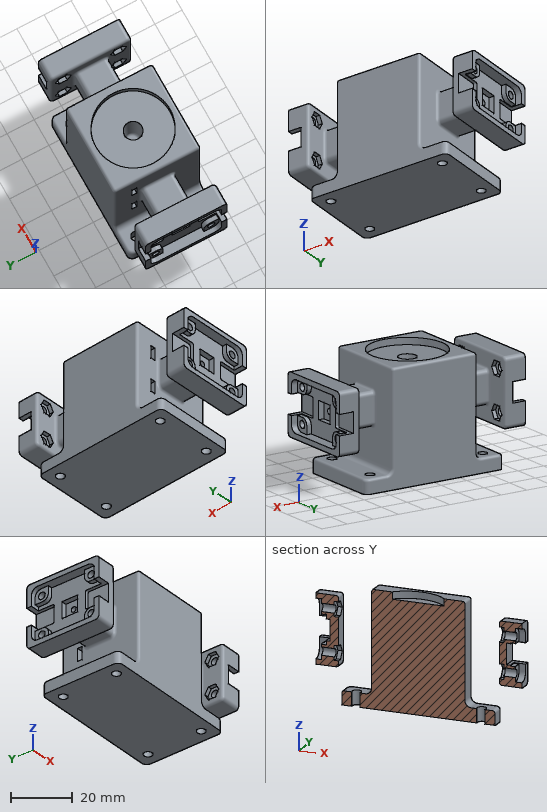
import cadquery as cq
import math


overall_length = 72.5
body_length = 33.0
body_width = 32.0
total_height = 41.0
base_length = 54.0
base_thickness = 5.1
outer_round = 1.0
base_corner_radius = 2.0
base_blend_radius = 2.0

seat_diameter = 27.25
seat_depth = 2.5
socket_top_diameter = 6.4
socket_bottom_diameter = 4.65
socket_depth = 10.0
socket_bottom_round = 0.95

mount_hole_diameter = 3.2
mount_hole_spacing_x = 43.9
mount_hole_spacing_y = 22.05

axis_height = 25.0
arm_size = 11.95
arm_edge_radius = 1.5
arm_blend_radius = 1.0
left_arm_length = 11.45
plate_thickness = 8.05
plate_width = 30.0
left_plate_height = 24.5
right_plate_height = 22.1
plate_corner_radius = 1.5
wire_hole_diameter = 2.0

left_pocket_depth = 3.6
right_pocket_depth = 4.05
pocket_width = 26.0
pocket_rim = 1.95
pocket_corner_radius = 2.6
square_size = 6.5
square_depth = 2.0
notch_height = 7.25
notch_inner_offset = 6.5
notch_extra_depth = 1.3
notch_corner_radius = 0.6

boss_width = 5.5
boss_height = 5.2
boss_rise = 1.75
boss_round = 2.5
screw_hole_diameter = 2.7
screw_offset_y = 10.2
screw_edge_distance = 4.8
nut_width = 5.0
nut_sides = 6
nut_recess_depth = 1.5

slot_width = 1.8
slot_height = 5.0
slot_depth = 3.0
slot_offset_y = 8.55
slot_offset_z = 6.75

selection_margin = 0.1

right_arm_length = overall_length - body_length - left_arm_length - 2 * plate_thickness


def box_between(x_range, y_range, z_range):
    """Axis-aligned box given by its limits along X, Y and Z."""
    size = [b - a for a, b in (x_range, y_range, z_range)]
    corner = (x_range[0], y_range[0], z_range[0])
    return cq.Workplane("XY").box(*size, centered=False).translate(corner)


def make_body():
    """Base and block in one profile, with rounded outer edges."""
    half_base = base_length / 2
    half_body = body_length / 2
    body = (
        cq.Workplane("XZ", origin=(0, body_width / 2, 0))
        .moveTo(-half_base, 0)
        .lineTo(half_base, 0)
        .lineTo(half_base, base_thickness)
        .lineTo(half_body + base_blend_radius, base_thickness)
        .radiusArc((half_body, base_thickness + base_blend_radius), base_blend_radius)
        .lineTo(half_body, total_height)
        .lineTo(-half_body, total_height)
        .lineTo(-half_body, base_thickness + base_blend_radius)
        .radiusArc((-half_body - base_blend_radius, base_thickness), base_blend_radius)
        .lineTo(-half_base, base_thickness)
        .close()
        .extrude(body_width)
    )
    body = body.edges("|Z and (<X or >X)").fillet(base_corner_radius)
    top_edges = body.faces(">Z").edges()
    side_edges = body.faces("<Y or >Y").edges("not <Z")
    base_end_edges = body.faces("<X or >X").edges(">Z")
    curved_corner_edges = body.edges("%CIRCLE").edges(cq.selectors.BoxSelector(
        (-base_length, -body_width, base_thickness - selection_margin),
        (base_length, body_width, base_thickness + selection_margin),
    ))
    outer_edges = top_edges.vals() + side_edges.vals() + base_end_edges.vals() + curved_corner_edges.vals()
    return body.newObject(outer_edges).fillet(outer_round)


def cut_top_socket(body):
    seat_floor = total_height - seat_depth
    taper = math.degrees(math.atan((socket_top_diameter - socket_bottom_diameter) / 2 / socket_depth))
    seat = cq.Workplane("XY", origin=(0, 0, seat_floor)).circle(seat_diameter / 2).extrude(seat_depth)
    socket = (
        cq.Workplane("XY", origin=(0, 0, seat_floor))
        .circle(socket_top_diameter / 2)
        .extrude(-socket_depth, taper=taper)
        .faces("<Z")
        .edges()
        .fillet(socket_bottom_round)
    )
    return body.cut(seat).cut(socket)


def cut_mount_holes(body):
    holes = (
        cq.Workplane("XY")
        .rect(mount_hole_spacing_x, mount_hole_spacing_y, forConstruction=True)
        .vertices()
        .circle(mount_hole_diameter / 2)
        .extrude(base_thickness)
    )
    return body.cut(holes)


def cut_body_slots(body):
    face = -body_length / 2
    for side in (-1, 1):
        middle = axis_height + side * slot_offset_z
        slot = box_between(
            (face, face + slot_depth),
            (slot_offset_y - slot_width / 2, slot_offset_y + slot_width / 2),
            (middle - slot_height / 2, middle + slot_height / 2),
        )
        body = body.cut(slot)
    return body


def make_plate_blank(arm_length, height):
    return (
        cq.Workplane("YZ", origin=(arm_length, 0, 0))
        .rect(plate_width, height)
        .extrude(plate_thickness)
        .edges("|X")
        .fillet(plate_corner_radius)
        .faces("<X")
        .edges()
        .fillet(outer_round)
    )


def make_arm(arm_length):
    return (
        cq.Workplane("YZ")
        .rect(arm_size, arm_size)
        .extrude(arm_length)
        .edges("|X")
        .fillet(arm_edge_radius)
    )


def cut_plate_recess(plate, arm_length, height, pocket_depth):
    outer_face = arm_length + plate_thickness
    floor = outer_face - pocket_depth
    pocket_height = height - 2 * pocket_rim
    pocket = (
        cq.Workplane("YZ", origin=(floor, 0, 0))
        .rect(pocket_width, pocket_height)
        .extrude(pocket_depth)
        .edges("|X")
        .fillet(pocket_corner_radius)
    )
    for side_y in (-1, 1):
        for side_z in (-1, 1):
            boss = (
                cq.Workplane("YZ", origin=(floor, 0, 0))
                .center(side_y * (pocket_width - boss_width) / 2, side_z * (pocket_height - boss_height) / 2)
                .rect(boss_width, boss_height)
                .extrude(boss_rise)
                .edges("|X")
                .edges(cq.selectors.NearestToPointSelector((floor, 0, 0)))
                .fillet(boss_round)
            )
            pocket = pocket.cut(boss)
    square = cq.Workplane("YZ", origin=(floor, 0, 0)).rect(square_size, square_size).extrude(-square_depth)
    plate = plate.cut(pocket).cut(square)

    notch_length = plate_width / 2 - notch_inner_offset
    for side_y in (-1, 1):
        notch = (
            cq.Workplane("YZ", origin=(floor - notch_extra_depth, 0, 0))
            .center(side_y * (notch_inner_offset + notch_length / 2), 0)
            .rect(notch_length, notch_height)
            .extrude(pocket_depth + notch_extra_depth)
            .edges("|X")
            .edges("<Y" if side_y > 0 else ">Y")
            .fillet(notch_corner_radius)
        )
        plate = plate.cut(notch)
    return plate


def cut_plate_screws(plate, arm_length, height):
    offset_z = height / 2 - screw_edge_distance
    points = [(y * screw_offset_y, z * offset_z) for y in (-1, 1) for z in (-1, 1)]
    back = cq.Workplane("YZ", origin=(arm_length, 0, 0)).pushPoints(points)
    holes = back.circle(screw_hole_diameter / 2).extrude(plate_thickness)
    nuts = back.polygon(nut_sides, nut_width / math.cos(math.pi / nut_sides)).extrude(nut_recess_depth)
    return plate.cut(holes).cut(nuts)


def make_side(arm_length, height, pocket_depth):
    side = make_plate_blank(arm_length, height)
    side = cut_plate_recess(side, arm_length, height, pocket_depth)
    side = cut_plate_screws(side, arm_length, height)
    return side.union(make_arm(arm_length))


def blend_arm_ends(part):
    reach = arm_size / 2 + selection_margin
    left_face = -body_length / 2
    right_face = body_length / 2
    for x in (left_face - left_arm_length, left_face, right_face, right_face + right_arm_length):
        ring = cq.selectors.BoxSelector(
            (x - selection_margin, -reach, axis_height - reach),
            (x + selection_margin, reach, axis_height + reach),
            boundingbox=True,
        )
        part = part.edges(ring).fillet(arm_blend_radius)
    return part


body = cut_body_slots(cut_mount_holes(cut_top_socket(make_body())))

right_side = make_side(right_arm_length, right_plate_height, right_pocket_depth)
left_side = make_side(left_arm_length, left_plate_height, left_pocket_depth).mirror("YZ")
body = body.union(right_side.translate((body_length / 2, 0, axis_height)))
body = body.union(left_side.translate((-body_length / 2, 0, axis_height)))
body = blend_arm_ends(body)
wire_hole = (
    cq.Workplane("YZ", origin=(-overall_length, 0, axis_height))
    .circle(wire_hole_diameter / 2)
    .extrude(2 * overall_length)
)
result = body.cut(wire_hole)